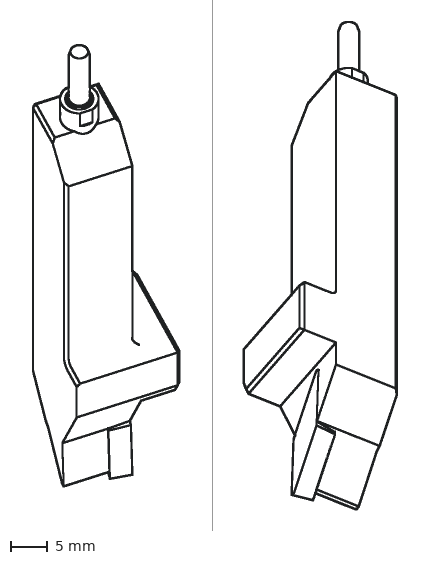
import cadquery as cq
import math

total_height = 83.75
total_width = 16.0
total_depth = 15.5

shank_width = 12.0
shank_depth = 10.0
shank_top = 70.0
corner_cut = 4.9
edge_chamfer = 0.5

shoulder_top = 28.0
side_shoulder_bottom = 21.1
back_shoulder_bottom = 19.1
shoulder_fillet = 0.8

left_slope_start = 15.0
left_slope_end = (5.1, 8.55)
cove_middle = (5.8, 8.2)
cove_end = (6.3, 7.6)
nose_left = (10.7, 1.8)
nose_right = (11.4, 1.7)
right_slope_end = (10.9, 10.2)

insert_side = 11.05
insert_thickness = 3.2
insert_angle = 35.0
flank_tilt = 3.0
flank_clearance = 7.0
insert_nose_radius = 0.4
insert_max_x = 12.0

connector_x = 4.9
connector_y = 5.0
collar_diameter = 5.3
collar_top = 73.9
collar_root_depth = 0.8
flat_distance = 4.9
flat_bottom = 71.2
ring_base_diameter = 3.85
ring_top_diameter = 3.4
ring_height = 0.25
tube_diameter = 2.9
tube_tip_diameter = 2.4
tube_tip_height = 0.9


def make_shank():
    """Shank with the +X shoulder and the pointed nose, full length."""
    body = (
        cq.Workplane("XZ")
        .moveTo(0, left_slope_start)
        .lineTo(0, shank_top)
        .lineTo(shank_width - corner_cut, shank_top)
        .lineTo(shank_width, shank_top - corner_cut)
        .lineTo(shank_width, shoulder_top)
        .lineTo(total_width, shoulder_top)
        .lineTo(total_width, side_shoulder_bottom)
        .lineTo(*right_slope_end)
        .lineTo(*nose_right)
        .lineTo(*nose_left)
        .lineTo(*cove_end)
        .threePointArc(cove_middle, left_slope_end)
        .close()
        .extrude(-shank_depth)
    )
    return body


def nearest_edge(body, point):
    """The edge of a body whose middle is closest to a point."""
    return body.edges(cq.selectors.NearestToPointSelector(point)).val()


def fillet_shoulder_roots(body):
    """Round the corners where the shank meets the top faces of both shoulders."""
    roots = [
        nearest_edge(body, (shank_width, shank_depth / 2, shoulder_top)),
        nearest_edge(body, (shank_width / 2, shank_depth, shoulder_top)),
    ]
    return body.newObject(roots).fillet(shoulder_fillet)


def chamfer_front_and_top(body):
    """Break the front edges of the shank and the rim of its top face."""
    top_middle_x = (shank_width - corner_cut) / 2
    left_middle_z = (left_slope_start + shank_top) / 2
    right_middle_z = (shoulder_top + shank_top - corner_cut) / 2
    shoulder_middle_x = (shank_width + total_width) / 2
    fillet_middle = shoulder_fillet * (1 - math.sqrt(0.5))
    middles = [
        (0, 0, left_middle_z),
        (top_middle_x, 0, shank_top),
        (top_middle_x, shank_depth, shank_top),
        (0, shank_depth / 2, shank_top),
        (shank_width, 0, right_middle_z),
        (shank_width + fillet_middle, 0, shoulder_top + fillet_middle),
        (shoulder_middle_x, 0, shoulder_top),
    ]
    edges = [nearest_edge(body, middle) for middle in middles]
    return body.newObject(edges).chamfer(edge_chamfer)


def make_back_shoulder():
    """Shoulder block that stands out on the +Y side, chamfered around its end."""
    slope_run = total_width - right_slope_end[0]
    slope_rise = side_shoulder_bottom - right_slope_end[1]
    bottom_right = total_width - (side_shoulder_bottom - back_shoulder_bottom) * slope_run / slope_rise
    block = (
        cq.Workplane("XZ", origin=(0, shank_depth, 0))
        .moveTo(0, back_shoulder_bottom)
        .lineTo(0, shoulder_top)
        .lineTo(total_width, shoulder_top)
        .lineTo(total_width, side_shoulder_bottom)
        .lineTo(bottom_right, back_shoulder_bottom)
        .close()
        .extrude(shank_depth - total_depth)
    )
    return block.faces(">Y").chamfer(edge_chamfer)


def connector_cone(bottom, height, bottom_diameter, top_diameter):
    """Round section of the connector that tapers from bottom to top."""
    return (
        cq.Workplane("XY", origin=(connector_x, connector_y, bottom))
        .circle(bottom_diameter / 2)
        .workplane(offset=height)
        .circle(top_diameter / 2)
        .loft()
    )


def make_collar():
    """Round collar with two flats facing -X and +X that run down from its top."""
    root = shank_top - collar_root_depth
    axis = cq.Workplane("XY", origin=(connector_x, connector_y, 0))
    collar = axis.workplane(offset=root).circle(collar_diameter / 2).extrude(collar_top - root)
    flat_depth = (collar_diameter - flat_distance) / 2
    flat_cutters = (
        axis.workplane(offset=flat_bottom)
        .rarray(flat_distance + flat_depth, 0.8, 2, 1)
        .rect(flat_depth, collar_diameter)
        .extrude(collar_top - flat_bottom)
    )
    return collar.cut(flat_cutters)


def make_connector():
    """Collar, tapered ring and coolant tube with a tapered tip, on one axis."""
    tip_bottom = total_height - tube_tip_height
    ring = connector_cone(collar_top, ring_height, ring_base_diameter, ring_top_diameter)
    tube = (
        cq.Workplane("XY", origin=(connector_x, connector_y, collar_top))
        .circle(tube_diameter / 2)
        .extrude(tip_bottom - collar_top)
    )
    tip = connector_cone(tip_bottom, tube_tip_height, tube_diameter, tube_tip_diameter)
    return make_collar().union(ring).union(tube).union(tip)


def polar(point, distance, angle):
    """Point at a distance from another, angle in degrees from +Z toward -X."""
    turn = math.radians(angle)
    return (point[0] - distance * math.sin(turn), point[1] + distance * math.cos(turn))


def insert_wire(y, inset):
    """Rhombus outline with two round noses, shrunk inward by inset."""
    half_angle = insert_angle / 2
    axis_tilt = flank_tilt + half_angle
    half_sine = math.sin(math.radians(half_angle))
    radius = insert_nose_radius - inset
    side = insert_side - 2 * inset / math.sin(math.radians(insert_angle))
    nose_centre = (insert_max_x - insert_nose_radius, insert_nose_radius)
    tip = polar(nose_centre, -radius / half_sine, axis_tilt)
    diagonal = 2 * side * math.cos(math.radians(half_angle))
    far_centre = polar(tip, diagonal - radius / half_sine, axis_tilt)
    right_corner = polar(tip, side, flank_tilt)
    left_corner = polar(tip, side, flank_tilt + insert_angle)
    to_right = flank_tilt - 90
    to_left = flank_tilt + insert_angle + 90
    outline = (
        cq.Workplane("XZ", origin=(0, y, 0))
        .moveTo(*polar(nose_centre, radius, to_right))
        .lineTo(*right_corner)
        .lineTo(*polar(far_centre, radius, to_left - 180))
        .threePointArc(polar(far_centre, radius, axis_tilt), polar(far_centre, radius, to_right + 180))
        .lineTo(*left_corner)
        .lineTo(*polar(nose_centre, radius, to_left))
        .threePointArc(polar(nose_centre, -radius, axis_tilt), polar(nose_centre, radius, to_right))
        .close()
    )
    return outline.val()


def make_insert():
    """Insert lying flush with the +Y side of the shank, narrowing toward -Y."""
    inset = insert_thickness * math.tan(math.radians(flank_clearance))
    wide = insert_wire(shank_depth, 0)
    narrow = insert_wire(shank_depth - insert_thickness, inset)
    return cq.Workplane(cq.Solid.makeLoft([wide, narrow], True))


insert = make_insert()
holder = make_shank().union(make_back_shoulder())
holder = chamfer_front_and_top(fillet_shoulder_roots(holder))
holder = holder.union(make_connector()).cut(insert)

result = cq.Compound.makeCompound([holder.val(), insert.val()])